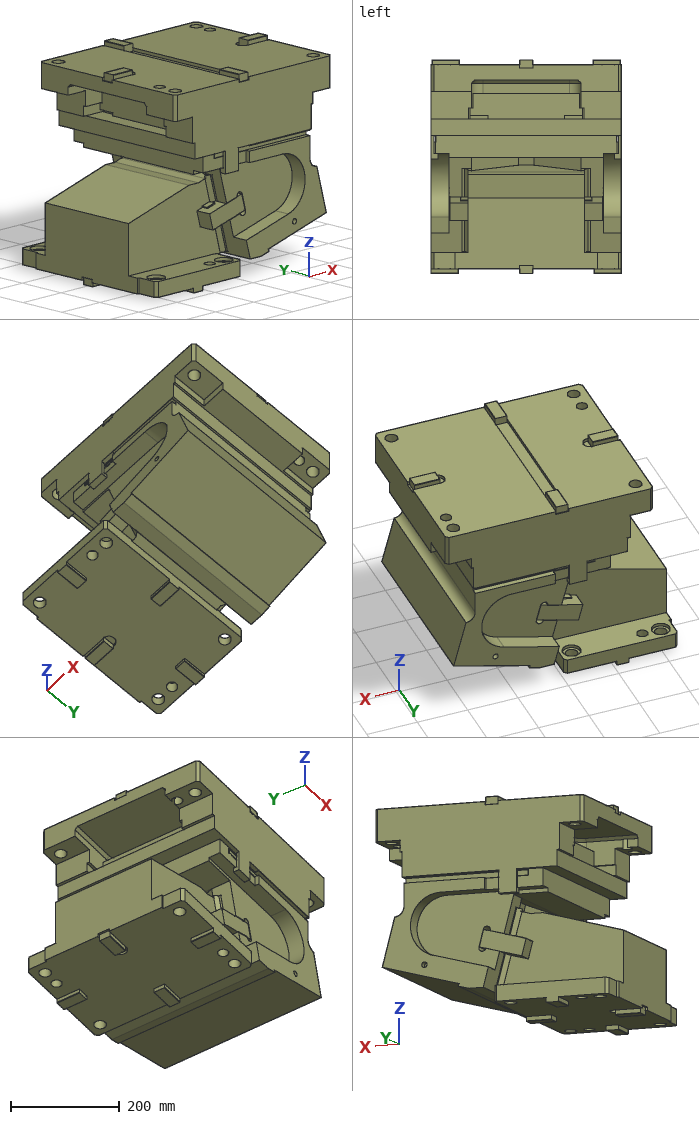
import cadquery as cq
import math


LENGTH = 465.0
WIDTH = 350.0
HEIGHT = 393.0
HALF_WIDTH = WIDTH / 2
TILT = math.radians(15)

KEY_LENGTH = 50.0
KEY_WIDTH = 24.0
SLOT_WIDTH = 25.5
KEY_STANDOUT = 9.0
KEY_SINK = 6.0
KEY_CHAMFER = 1.0
SLOT_RUNOUT = 14.0
KEY_MARGIN = 3.5

CORNER = 5.5
HOLE_INSET_Y = 24.5
CORNER_HOLE_RADIUS = 11.5
DOWEL_RADIUS = 10.0

BASE_LENGTH = 229.5
BASE_BOTTOM = KEY_STANDOUT
BASE_PLATE_TOP = 39.0
BASE_HALF_WALL = 107.5
BASE_EAR_SETBACK = 4.0
BASE_HALF_NOSE = 130.5
BASE_FRONT_TOP = 138.5
BASE_ROOF = 182.0
BASE_ROOF_START = 158.5
BASE_ROOF_END = 183.5
BASE_KEY_X = 114.0
COUNTERBORE_RADIUS = 17.0
COUNTERBORE_DEPTH = 6.0
BASE_HOLE_X = (29.0, 206.0)
BASE_DOWEL_PITCH = 36.7

JOINT_X = 203.0
JOINT_Z = 213.0
JOINT_TOP = -20.0
JOINT_BOTTOM = -178.5
LIP_DEPTH = 9.5
LIP_HALF = 113.5
RIM_HALF = 117.5
RIM_DEPTH = 3.0
NOSE_HALF = 101.0
NOSE_TIP_HALF = 14.0
NOSE_DEPTH = 39.5
NOSE_TOP = -24.5

CLAMP_BACK = -44.5
CLAMP_FRONT = 42.5
CLAMP_BOTTOM = -108.0
CLAMP_TOP = -74.5
CLAMP_OUTER = 140.5
CLAMP_RELIEF = 7.0
CLAMP_PAD_BACK = -29.8
CLAMP_PAD_OUTER = 120.5
CLAMP_PAD_RISE = 2.5

TONGUE_X = 135.5
TONGUE_HALF = 166.5
BLOCK_TOP = 254.0
SHOULDER_X = 248.5
SLOT_FLOOR = 242.3
SLOT_CEILING = 252.5
SLOT_X = 165.5
SLOT_HALF = 164.5
BLOCK_BACK = 407.5
BACK_RELIEF_RADIUS = 18.5
SIDE_POCKET_TOP = 220.5
SIDE_POCKET_HALF = 142.0
SIDE_POCKET_END = 394.5
SIDE_POCKET_FOOT = 74.5
SIDE_HOLE = (367.0, 87.0)
SIDE_HOLE_RADIUS = 5.0
SIDE_HOLE_DEPTH = 14.0

HEAD_FRONT = 53.5
PLATE_TOP = HEIGHT - KEY_STANDOUT
PLATE_BOTTOM = 334.5
PLATE_BACK_BOTTOM = 323.0
HEAD_UPPER_FRONT = 99.5
HEAD_LOWER_FRONT = 105.0
HEAD_STEP = 284.5
HEAD_UPPER_BACK = 415.0
HEAD_LOWER_BACK = 411.0
BACK_BLOCK_BOTTOM = 301.5
HEAD_HOLE_X = (79.0, 441.0)
HEAD_DOWELS = ((79.0, -110.0), (441.0, 115.5))
HEAD_KEY_X = 234.5
HEAD_KEY_Y_MARGIN = 2.0

WINDOW_HALF = 101.0
WINDOW_TOP = 355.5
WINDOW_BACK = 176.5
WINDOW_CORNER = 21.5
WINDOW_BEVEL = 6.0
WINDOW_GAP = 3.0
WINDOW_FOOT_TOP = 304.0
WINDOW_FOOT_FLARE = 5.0
INSERT_FRONT = 139.5
INSERT_TOP = 330.5
INSERT_SLOT_INNER = 70.5
INSERT_SLOT_HEIGHT = 6.0
INSERT_SLOT_DEPTH = 9.5

HOOK_FRONT = 185.0
HOOK_BACK = 220.0
HOOK_BOTTOM = 210.5
HOOK_INNER = 169.3
HOOK_FOOT_INNER = 162.5


def box(x0, x1, y0, y1, z0, z1):
    return cq.Workplane("XY").box(x1 - x0, y1 - y0, z1 - z0, centered=False).translate((x0, y0, z0))


def both_sides(shape):
    return shape.union(shape.mirror("XZ"))


def side_profile(points, half_width):
    """Prism from an X-Z outline, symmetric about y = 0."""
    return cq.Workplane("XZ").polyline(points).close().extrude(half_width, both=True)


def cylinder(x, y, radius, z0, z1):
    return cq.Workplane("XY", origin=(x, y, z0)).circle(radius).extrude(z1 - z0)


def joint_point(along, up):
    """X-Z position of a point given along the joint axis and up the joint face."""
    return (
        JOINT_X + along * math.cos(TILT) - up * math.sin(TILT),
        JOINT_Z + along * math.sin(TILT) + up * math.cos(TILT),
    )


def joint_face_at(z):
    """X-Z position of the point of the joint face at height z."""
    return joint_point(0, (z - JOINT_Z) / math.cos(TILT))


def in_joint_frame(shape):
    """Move a shape drawn with X along the joint axis and Z up the joint face into place."""
    tilted = shape.rotate((0, 0, 0), (0, 1, 0), -math.degrees(TILT))
    return tilted.translate((JOINT_X, 0, JOINT_Z))


def joint_prism(half_outline, bottom, top):
    """Prism up the joint face; the outline is (along, y) and is mirrored about y = 0."""
    outline = half_outline + [(along, -y) for along, y in reversed(half_outline)]
    prism = cq.Workplane("XY").workplane(offset=bottom).polyline(outline).close().extrude(top - bottom)
    return in_joint_frame(prism)


def key(run_along_y=False):
    """Upright key centred on the plate surface, bevelled along its long top edges."""
    body = box(-KEY_LENGTH / 2, KEY_LENGTH / 2, -KEY_WIDTH / 2, KEY_WIDTH / 2, -KEY_SINK, KEY_STANDOUT)
    body = body.faces(">Z").edges("|X").chamfer(KEY_CHAMFER)
    return body.rotate((0, 0, 0), (0, 0, 1), 90) if run_along_y else body


def end_slot(open_x, inward):
    """Round-ended key slot, open at open_x and sunk below z = 0."""
    length = KEY_MARGIN + KEY_LENGTH + SLOT_RUNOUT - SLOT_WIDTH / 2
    centre = open_x + inward * length
    x0, x1 = sorted((open_x, centre))
    straight = box(x0, x1, -SLOT_WIDTH / 2, SLOT_WIDTH / 2, -KEY_SINK, 0)
    return straight.union(cylinder(centre, 0, SLOT_WIDTH / 2, -KEY_SINK, 0))


def joint_nose(top):
    """Wedge of the base that reaches into the block."""
    return joint_prism([(0, NOSE_HALF), (NOSE_DEPTH, NOSE_TIP_HALF)], JOINT_BOTTOM, top)


def joint_rim():
    """Two upright strips let into the block, one on each side of the nose."""
    strip = box(0, RIM_DEPTH, NOSE_HALF, RIM_HALF, JOINT_BOTTOM, JOINT_TOP)
    return both_sides(in_joint_frame(strip))


def clamp():
    bar = box(CLAMP_BACK, CLAMP_FRONT, BASE_HALF_WALL, CLAMP_OUTER, CLAMP_BOTTOM, CLAMP_TOP)
    pad_top = CLAMP_TOP + CLAMP_PAD_RISE
    pad = box(CLAMP_PAD_BACK, -LIP_DEPTH, BASE_HALF_WALL, CLAMP_PAD_OUTER, CLAMP_TOP, pad_top)
    return in_joint_frame(bar.union(pad))


def clamp_recess():
    recess = box(0, CLAMP_FRONT, BASE_HALF_WALL, HALF_WIDTH, CLAMP_BOTTOM, CLAMP_TOP)
    for up in (CLAMP_BOTTOM, CLAMP_TOP):
        relief = (
            cq.Workplane("XZ", origin=(CLAMP_FRONT - CLAMP_RELIEF, BASE_HALF_WALL, up))
            .circle(CLAMP_RELIEF)
            .extrude(BASE_HALF_WALL - HALF_WIDTH)
        )
        recess = recess.union(relief)
    return in_joint_frame(recess)


def base_plate():
    ears = box(BASE_EAR_SETBACK, BASE_LENGTH, -HALF_WIDTH, HALF_WIDTH, BASE_BOTTOM, BASE_PLATE_TOP)
    ears = ears.edges("|Z").chamfer(CORNER)
    nose = box(0, BASE_LENGTH / 2, -BASE_HALF_NOSE, BASE_HALF_NOSE, BASE_BOTTOM, BASE_PLATE_TOP)
    return ears.union(nose)


def base_wall():
    lip_bottom = joint_point(-LIP_DEPTH, JOINT_BOTTOM)
    underside = lip_bottom[1] - (lip_bottom[0] - BASE_LENGTH) * math.tan(TILT)
    outline = [
        (0, BASE_BOTTOM),
        (0, BASE_FRONT_TOP),
        (BASE_ROOF_START, BASE_ROOF),
        (BASE_ROOF_END, BASE_ROOF),
        joint_point(-LIP_DEPTH, NOSE_TOP),
        lip_bottom,
        (BASE_LENGTH, underside),
        (BASE_LENGTH, BASE_BOTTOM),
    ]
    return side_profile(outline, BASE_HALF_WALL)


def base_joint():
    core = joint_prism([(-LIP_DEPTH, BASE_HALF_WALL), (0, BASE_HALF_WALL)], JOINT_BOTTOM, NOSE_TOP)
    lip_outline = [(-LIP_DEPTH, BASE_HALF_WALL), (0, LIP_HALF), (0, BASE_HALF_WALL)]
    lip = (
        cq.Workplane("XY").workplane(offset=JOINT_BOTTOM)
        .polyline(lip_outline).close()
        .extrude(JOINT_TOP - JOINT_BOTTOM)
    )
    lips = both_sides(in_joint_frame(lip))
    return core.union(lips).union(joint_rim()).union(joint_nose(NOSE_TOP))


def base_holes():
    hole_y = HALF_WIDTH - HOLE_INSET_Y
    holes = cq.Workplane("XY")
    for x in BASE_HOLE_X:
        for y in (-hole_y, hole_y):
            holes = holes.union(cylinder(x, y, CORNER_HOLE_RADIUS, BASE_BOTTOM, BASE_PLATE_TOP))
            floor = BASE_PLATE_TOP - COUNTERBORE_DEPTH
            holes = holes.union(cylinder(x, y, COUNTERBORE_RADIUS, floor, BASE_PLATE_TOP))
    front_x, back_x = BASE_HOLE_X
    for x, y in ((front_x + BASE_DOWEL_PITCH, hole_y), (back_x - BASE_DOWEL_PITCH, -hole_y)):
        holes = holes.union(cylinder(x, y, DOWEL_RADIUS, BASE_BOTTOM, BASE_PLATE_TOP))
    return holes


def under_base(shape):
    """Turn a key or slot upside down and set it on the underside of the base."""
    return shape.rotate((0, 0, 0), (1, 0, 0), 180).translate((0, 0, BASE_BOTTOM))


def make_base():
    body = base_plate().union(base_wall()).union(base_joint()).cut(base_holes())
    body = body.union(both_sides(clamp()))
    front_key_x = KEY_MARGIN + KEY_LENGTH / 2
    back_key_x = BASE_LENGTH - KEY_LENGTH / 2
    body = body.cut(under_base(end_slot(0, 1)))
    for x in (front_key_x, back_key_x):
        body = body.union(under_base(key().translate((x, 0, 0))))
    side_key = key(run_along_y=True).translate((BASE_KEY_X, HALF_WIDTH - KEY_LENGTH / 2, 0))
    return body.union(both_sides(under_base(side_key)))


def block_body():
    back_low = (450.0, 88.0)
    back_high = (425.5, 180.5)
    foot_step_low = (300.0, 42.5)
    foot_step_high = (298.5, 47.0)
    foot_flat_end = 279.0
    foot = foot_step_low[1] - (foot_step_low[0] - foot_flat_end) * math.tan(TILT)
    relief_centre = (BLOCK_BACK + BACK_RELIEF_RADIUS, back_high[1] + BACK_RELIEF_RADIUS)
    relief_middle = (
        relief_centre[0] - BACK_RELIEF_RADIUS * math.sqrt(0.5),
        relief_centre[1] - BACK_RELIEF_RADIUS * math.sqrt(0.5),
    )
    return (
        cq.Workplane("XZ")
        .moveTo(JOINT_X, JOINT_Z)
        .lineTo(*joint_face_at(foot))
        .lineTo(foot_flat_end, foot)
        .lineTo(*foot_step_low)
        .lineTo(*foot_step_high)
        .lineTo(*back_low)
        .lineTo(*back_high)
        .threePointArc(relief_middle, (BLOCK_BACK, relief_centre[1]))
        .lineTo(BLOCK_BACK, BLOCK_TOP)
        .lineTo(TONGUE_X, BLOCK_TOP)
        .lineTo(TONGUE_X, JOINT_Z)
        .close()
        .extrude(HALF_WIDTH, both=True)
    )


def side_pocket():
    """Rounded pocket in the block's side, open towards the joint."""
    foot_x, foot_z = joint_face_at(SIDE_POCKET_FOOT)
    drop = (SIDE_POCKET_TOP - foot_z) * math.cos(TILT) - (SIDE_POCKET_END - foot_x) * math.sin(TILT)
    radius = drop / (1 + math.cos(TILT) - math.sin(TILT))
    centre_x = SIDE_POCKET_END - radius
    centre_z = SIDE_POCKET_TOP - radius
    lower_tangent = (centre_x + radius * math.sin(TILT), centre_z - radius * math.cos(TILT))
    return (
        cq.Workplane("XZ", origin=(0, HALF_WIDTH, 0))
        .moveTo(TONGUE_X, SIDE_POCKET_TOP)
        .lineTo(centre_x, SIDE_POCKET_TOP)
        .threePointArc((SIDE_POCKET_END, centre_z), lower_tangent)
        .lineTo(foot_x, foot_z)
        .lineTo(TONGUE_X, foot_z)
        .close()
        .extrude(HALF_WIDTH - SIDE_POCKET_HALF)
    )


def side_hole():
    x, z = SIDE_HOLE
    return cq.Workplane("XZ", origin=(x, HALF_WIDTH, z)).circle(SIDE_HOLE_RADIUS).extrude(SIDE_HOLE_DEPTH)


def make_block():
    tongue_relief = box(TONGUE_X, SHOULDER_X, TONGUE_HALF, HALF_WIDTH, SIDE_POCKET_TOP, BLOCK_TOP)
    top_slot = box(SLOT_X, BLOCK_BACK, SLOT_HALF, HALF_WIDTH, SLOT_FLOOR, SLOT_CEILING)
    side_cuts = side_pocket().union(tongue_relief).union(top_slot).union(side_hole()).union(clamp_recess())
    return block_body().cut(both_sides(side_cuts)).cut(joint_nose(0)).cut(joint_rim())


def head_body():
    plate = box(HEAD_FRONT, LENGTH, -HALF_WIDTH, HALF_WIDTH, PLATE_BACK_BOTTOM, PLATE_TOP)
    plate = plate.edges("|Z").chamfer(CORNER)
    plate = plate.cut(
        box(HEAD_FRONT, HEAD_UPPER_FRONT, -HALF_WIDTH, HALF_WIDTH, PLATE_BACK_BOTTOM, PLATE_BOTTOM)
    )
    outline = [
        (HEAD_UPPER_FRONT, PLATE_BOTTOM),
        (HEAD_UPPER_FRONT, HEAD_STEP),
        (HEAD_LOWER_FRONT, HEAD_STEP),
        (HEAD_LOWER_FRONT, BLOCK_TOP),
        (HEAD_LOWER_BACK, BLOCK_TOP),
        (HEAD_LOWER_BACK, BACK_BLOCK_BOTTOM),
        (HEAD_UPPER_BACK, BACK_BLOCK_BOTTOM),
        (HEAD_UPPER_BACK, PLATE_BOTTOM),
    ]
    back_block = box(
        HEAD_LOWER_BACK, LENGTH, -WINDOW_HALF, WINDOW_HALF, BACK_BLOCK_BOTTOM, PLATE_BACK_BOTTOM
    )
    return plate.union(side_profile(outline, HALF_WIDTH)).union(back_block)


def window():
    foot_half = WINDOW_HALF + WINDOW_FOOT_FLARE
    opening = box(0, WINDOW_BACK, -WINDOW_HALF, WINDOW_HALF, HEAD_STEP, WINDOW_TOP)
    opening = opening.edges("|Z and >X").fillet(WINDOW_CORNER)
    opening = opening.faces(">Z").edges().chamfer(WINDOW_BEVEL)
    opening = opening.union(box(0, WINDOW_BACK, -foot_half, foot_half, HEAD_STEP, WINDOW_FOOT_TOP))
    return opening.intersect(box(HEAD_FRONT, WINDOW_BACK, -foot_half, foot_half, HEAD_STEP, WINDOW_TOP))


def window_insert():
    half = WINDOW_HALF - WINDOW_GAP
    foot_half = half + WINDOW_FOOT_FLARE
    body = box(INSERT_FRONT, WINDOW_BACK, -half, half, HEAD_STEP, INSERT_TOP)
    body = body.union(box(INSERT_FRONT, WINDOW_BACK, -foot_half, foot_half, HEAD_STEP, WINDOW_FOOT_TOP))
    slot = box(
        INSERT_FRONT, INSERT_FRONT + INSERT_SLOT_DEPTH, INSERT_SLOT_INNER, foot_half,
        HEAD_STEP, HEAD_STEP + INSERT_SLOT_HEIGHT,
    )
    return body.cut(both_sides(slot))


def hook():
    arm = box(HOOK_FRONT, HOOK_BACK, HOOK_INNER, HALF_WIDTH, HOOK_BOTTOM, BLOCK_TOP)
    return arm.union(box(HOOK_FRONT, HOOK_BACK, HOOK_FOOT_INNER, HALF_WIDTH, HOOK_BOTTOM, SIDE_POCKET_TOP))


def head_holes():
    hole_y = HALF_WIDTH - HOLE_INSET_Y
    holes = cq.Workplane("XY")
    for x in HEAD_HOLE_X:
        for y in (-hole_y, hole_y):
            holes = holes.union(cylinder(x, y, CORNER_HOLE_RADIUS, PLATE_BACK_BOTTOM, PLATE_TOP))
    for x, y in HEAD_DOWELS:
        holes = holes.union(cylinder(x, y, DOWEL_RADIUS, PLATE_BACK_BOTTOM, PLATE_TOP))
    return holes


def on_head(shape):
    return shape.translate((0, 0, PLATE_TOP))


def make_head():
    body = head_body().cut(window()).union(window_insert()).cut(head_holes())
    body = body.union(both_sides(hook()))
    half_groove = SLOT_WIDTH / 2
    groove = box(HEAD_KEY_X - half_groove, HEAD_KEY_X + half_groove, -HALF_WIDTH, HALF_WIDTH, -KEY_SINK, 0)
    slots = groove.union(end_slot(HEAD_FRONT, 1)).union(end_slot(LENGTH, -1))
    body = body.cut(on_head(slots))
    end_key_offset = KEY_MARGIN + KEY_LENGTH / 2
    for x in (HEAD_FRONT + end_key_offset, LENGTH - end_key_offset):
        body = body.union(on_head(key().translate((x, 0, 0))))
    side_key_y = HALF_WIDTH - HEAD_KEY_Y_MARGIN - KEY_LENGTH / 2
    side_key = key(run_along_y=True).translate((HEAD_KEY_X, side_key_y, 0))
    return body.union(both_sides(on_head(side_key)))


base = make_base()
block = make_block()
head = make_head()

result = cq.Compound.makeCompound([body.solids().val() for body in (base, block, head)])